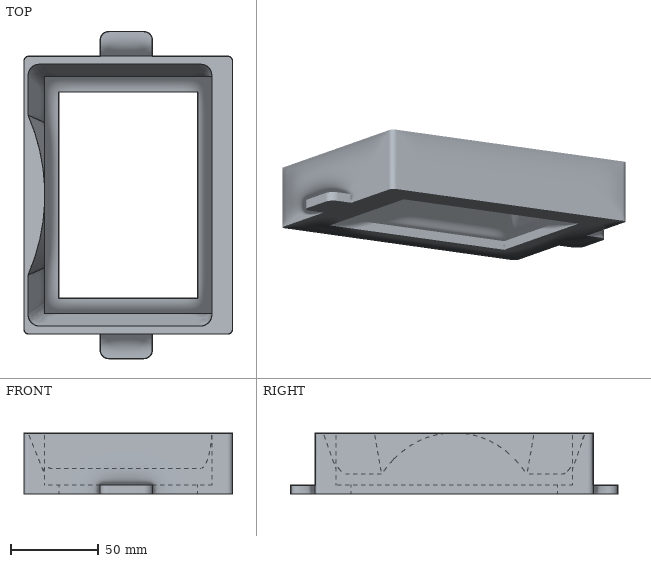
import cadquery as cq

BODY_X = 120.0
BODY_Y = 159.8
BODY_Z = 35.0
BODY_CORNER_RADIUS = 3.0

TAB_SPAN_Y = 188.0
TAB_WIDTH = 30.0
TAB_THICKNESS = 5.0
TAB_CENTER_X = -1.1
TAB_CORNER_RADIUS = 5.0

WINDOW_X = 79.7
WINDOW_Y = 118.5
FLOOR_THICKNESS = 5.0
RECESS_X = 96.0
RECESS_Y = 136.1

MOUTH_LEFT = -57.5
MOUTH_RIGHT = RECESS_X / 2
MOUTH_HALF_Y = 75.2
MOUTH_CORNER_RADIUS = 6.5
BULGE_HALF_CHORD = 45.9
BULGE_DEPTH = 9.5

LEFT_INSET = 12.0
RIGHT_INSET = 2.0
SIDE_INSET = 10.5
CORNER_RADIUS_LOSS = 2.0
BULGE_CHORD_INSET = 5.3


def make_body():
    body = cq.Workplane("XY").box(BODY_X, BODY_Y, BODY_Z, centered=(True, True, False))
    return body.edges("|Z").fillet(BODY_CORNER_RADIUS)


def make_tabs():
    strip = cq.Workplane("XY").box(TAB_WIDTH, TAB_SPAN_Y, TAB_THICKNESS, centered=(True, True, False))
    return strip.edges("|Z").fillet(TAB_CORNER_RADIUS).translate((TAB_CENTER_X, 0, 0))


def make_window():
    return cq.Workplane("XY").rect(WINDOW_X, WINDOW_Y).extrude(FLOOR_THICKNESS)


def make_recess():
    floor = cq.Workplane("XY").workplane(offset=FLOOR_THICKNESS)
    return floor.rect(RECESS_X, RECESS_Y).extrude(BODY_Z - FLOOR_THICKNESS)


def mouth_outline(sketch, left, right, half_y, radius, half_chord):
    """Rounded rectangle whose left side bulges inward along an arc."""
    return (
        sketch.moveTo(left, -half_chord)
        .threePointArc((left + BULGE_DEPTH, 0), (left, half_chord))
        .lineTo(left, half_y - radius)
        .radiusArc((left + radius, half_y), radius)
        .lineTo(right - radius, half_y)
        .radiusArc((right, half_y - radius), radius)
        .lineTo(right, radius - half_y)
        .radiusArc((right - radius, -half_y), radius)
        .lineTo(left + radius, -half_y)
        .radiusArc((left, radius - half_y), radius)
        .close()
    )


def make_mouth():
    lower = mouth_outline(
        cq.Workplane("XY").workplane(offset=FLOOR_THICKNESS),
        MOUTH_LEFT + LEFT_INSET,
        MOUTH_RIGHT - RIGHT_INSET,
        MOUTH_HALF_Y - SIDE_INSET,
        MOUTH_CORNER_RADIUS - CORNER_RADIUS_LOSS,
        BULGE_HALF_CHORD - BULGE_CHORD_INSET,
    )
    both = mouth_outline(
        lower.workplane(offset=BODY_Z - FLOOR_THICKNESS),
        MOUTH_LEFT,
        MOUTH_RIGHT,
        MOUTH_HALF_Y,
        MOUTH_CORNER_RADIUS,
        BULGE_HALF_CHORD,
    )
    return both.loft(ruled=True)


result = make_body().union(make_tabs())
result = result.cut(make_window()).cut(make_recess()).cut(make_mouth())